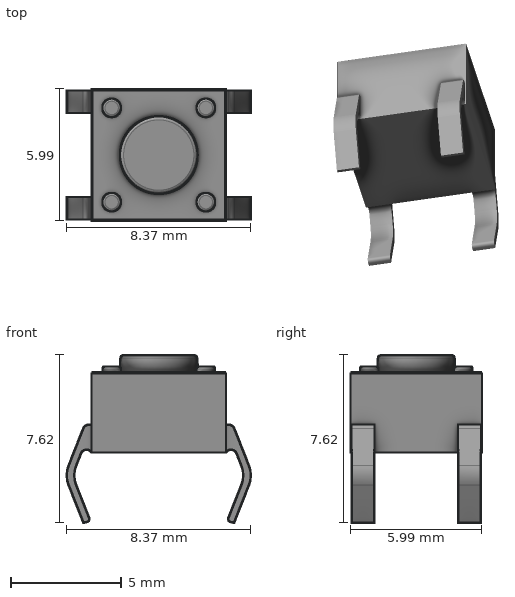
import cadquery as cq
import math

TOTAL_HEIGHT = 7.62

BODY_X = 6.12
BODY_Y = 5.99
BODY_HEIGHT = 3.60
COVER_THICKNESS = 0.06
COVER_INSET = 0.06
COVER_TOP = BODY_HEIGHT + COVER_THICKNESS

BUTTON_TOP = 4.43
BUTTON_SPHERE_RADIUS = 1.775
BUTTON_SPHERE_Z = 3.98
BUTTON_EDGE_FILLET = 0.15

RIVET_DIAMETER = 0.85
RIVET_TOP = 3.92
RIVET_EDGE_FILLET = 0.12
RIVET_OFFSET = 2.14

LEG_SPAN = 8.37
LEG_WIDTH = 1.03
LEG_INSET_Y = 0.06
LEG_THICKNESS_X = 0.355
LEG_TILT = math.radians(21.5)
LEG_TOP = 1.275
LEG_BOTTOM = BUTTON_TOP - TOTAL_HEIGHT
ELBOW_Z = -1.03
ELBOW_RADIUS = 1.20
SHOULDER_RADIUS = 0.28
CROOK_RADIUS = 0.27
CROOK_CENTRE_Z = -0.14
TIP_TILT = math.radians(12)
TIP_FILLET = 0.15
LEG_ROOT_DEPTH = 0.30


def make_housing():
    body = cq.Workplane("XY").box(BODY_X, BODY_Y, BODY_HEIGHT, centered=(True, True, False))
    cover = (
        cq.Workplane("XY", origin=(0, 0, BODY_HEIGHT))
        .rect(BODY_X - 2 * COVER_INSET, BODY_Y - 2 * COVER_INSET)
        .extrude(COVER_THICKNESS)
    )
    return body.union(cover)


def make_button():
    bottom_radius = math.sqrt(BUTTON_SPHERE_RADIUS**2 - (COVER_TOP - BUTTON_SPHERE_Z) ** 2)
    top_radius = math.sqrt(BUTTON_SPHERE_RADIUS**2 - (BUTTON_TOP - BUTTON_SPHERE_Z) ** 2)
    return (
        cq.Workplane("XZ")
        .moveTo(0, COVER_TOP)
        .lineTo(bottom_radius, COVER_TOP)
        .threePointArc((BUTTON_SPHERE_RADIUS, BUTTON_SPHERE_Z), (top_radius, BUTTON_TOP))
        .lineTo(0, BUTTON_TOP)
        .close()
        .revolve(360, (0, 0, 0), (0, 1, 0))
        .faces(">Z")
        .edges()
        .fillet(BUTTON_EDGE_FILLET)
    )


def make_rivets():
    return (
        cq.Workplane("XY", origin=(0, 0, COVER_TOP))
        .rect(2 * RIVET_OFFSET, 2 * RIVET_OFFSET, forConstruction=True)
        .vertices()
        .circle(RIVET_DIAMETER / 2)
        .extrude(RIVET_TOP - COVER_TOP)
        .faces(">Z")
        .edges()
        .fillet(RIVET_EDGE_FILLET)
    )


def arc_point(centre, radius, angle):
    """Point at a distance and direction from a centre, the angle counted from +X towards +Z."""
    return (centre[0] + radius * math.cos(angle), centre[1] + radius * math.sin(angle))


def make_leg():
    """Leg on the +X side, at the +Y corner."""
    outer_y = BODY_Y / 2 - LEG_INSET_Y
    wall_x = BODY_X / 2
    root_x = wall_x - LEG_ROOT_DEPTH

    outer_elbow = (LEG_SPAN / 2 - ELBOW_RADIUS, ELBOW_Z)
    inner_elbow = (outer_elbow[0] - LEG_THICKNESS_X, ELBOW_Z)

    outer_corner_x = outer_elbow[0] + ELBOW_RADIUS / math.cos(LEG_TILT)
    inner_corner_x = outer_corner_x - LEG_THICKNESS_X

    shoulder_z = LEG_TOP - SHOULDER_RADIUS
    shoulder = (
        outer_corner_x - (shoulder_z - ELBOW_Z) * math.tan(LEG_TILT) - SHOULDER_RADIUS / math.cos(LEG_TILT),
        shoulder_z,
    )
    crook = (
        inner_corner_x - (CROOK_CENTRE_Z - ELBOW_Z) * math.tan(LEG_TILT) - CROOK_RADIUS / math.cos(LEG_TILT),
        CROOK_CENTRE_Z,
    )
    crook_end_angle = math.acos((wall_x - crook[0]) / CROOK_RADIUS)
    crook_end = arc_point(crook, CROOK_RADIUS, crook_end_angle)

    tip_outer = (outer_corner_x - (ELBOW_Z - LEG_BOTTOM) * math.tan(LEG_TILT), LEG_BOTTOM)
    tip_length = LEG_THICKNESS_X * math.cos(LEG_TILT) / math.cos(LEG_TILT - TIP_TILT)
    tip_inner = arc_point(tip_outer, tip_length, math.pi - TIP_TILT)

    profile = (
        cq.Workplane("XZ", origin=(0, outer_y, 0))
        .moveTo(root_x, LEG_TOP)
        .lineTo(shoulder[0], LEG_TOP)
        .threePointArc(
            arc_point(shoulder, SHOULDER_RADIUS, (LEG_TILT + math.pi / 2) / 2),
            arc_point(shoulder, SHOULDER_RADIUS, LEG_TILT),
        )
        .lineTo(*arc_point(outer_elbow, ELBOW_RADIUS, LEG_TILT))
        .threePointArc(
            arc_point(outer_elbow, ELBOW_RADIUS, 0),
            arc_point(outer_elbow, ELBOW_RADIUS, -LEG_TILT),
        )
        .lineTo(*tip_outer)
        .lineTo(*tip_inner)
        .lineTo(*arc_point(inner_elbow, ELBOW_RADIUS, -LEG_TILT))
        .threePointArc(
            arc_point(inner_elbow, ELBOW_RADIUS, 0),
            arc_point(inner_elbow, ELBOW_RADIUS, LEG_TILT),
        )
        .lineTo(*arc_point(crook, CROOK_RADIUS, LEG_TILT))
        .threePointArc(
            arc_point(crook, CROOK_RADIUS, (LEG_TILT + crook_end_angle) / 2),
            crook_end,
        )
        .lineTo(root_x, crook_end[1])
        .close()
    )
    tip_edge_centre = (tip_inner[0], outer_y - LEG_WIDTH / 2, tip_inner[1])
    tip_edge = cq.NearestToPointSelector(tip_edge_centre)
    return profile.extrude(LEG_WIDTH).edges("|Y").edges(tip_edge).fillet(TIP_FILLET)


def make_legs():
    leg = make_leg()
    right_legs = leg.union(leg.mirror("XZ"))
    return right_legs.union(right_legs.mirror("YZ"))


result = make_housing().union(make_button()).union(make_rivets()).union(make_legs())